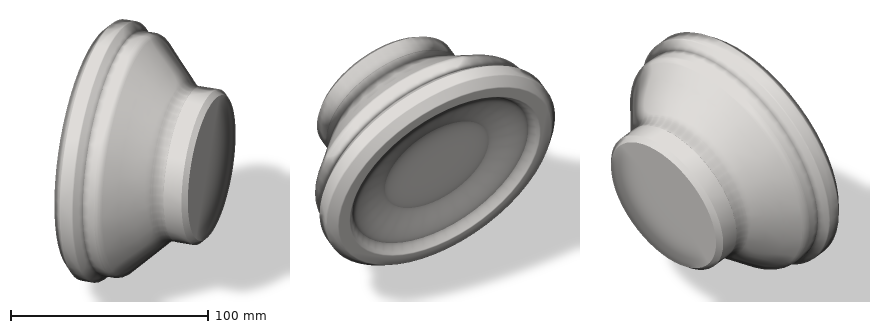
import cadquery as cq
import math


ring_radius = 67.1
ring_length = 15.5
ring_front_chamfer = 4.5
ring_edge_radius = 1.0
ring_inner_chamfer = 4.4
ring_bore_radius = 51.3

collar_radius = 126.0 / 2
collar_end_x = 21.5
shoulder_blend_radius = 5.1
cone_angle = math.radians(45)
neck_radius = 79.6 / 2
neck_blend_radius = 7.4
spigot_radius = 80.0 / 2
spigot_start_x = 50.6
spigot_chamfer = 2.5
total_length = 63.0

dish_rim_x = ring_inner_chamfer
dish_depth = 4.0
dish_floor_radius = 30.5


def turn(profile):
    """Revolve a closed (x, radius) profile about the X axis."""
    return profile.close().revolve(360, (0, 0, 0), (1, 0, 0))


def make_ring():
    """Rim ring with chamfered corners and softened front and outer edges."""
    back_chamfer = ring_radius - collar_radius
    blank = turn(
        cq.Workplane("XY")
        .moveTo(0, ring_bore_radius + ring_inner_chamfer)
        .lineTo(0, ring_radius - ring_front_chamfer)
        .lineTo(ring_front_chamfer, ring_radius)
        .lineTo(ring_length - back_chamfer, ring_radius)
        .lineTo(ring_length, collar_radius)
        .lineTo(ring_length, ring_bore_radius)
        .lineTo(ring_inner_chamfer, ring_bore_radius)
    )
    outer_edges = blank.faces("<X").edges().add(
        blank.edges(cq.selectors.RadiusNthSelector(-1))
    )
    return outer_edges.fillet(ring_edge_radius)


def make_housing():
    """Collar, cone and spigot in one piece, with a boss that fills the ring bore."""
    sine = math.sin(cone_angle)
    cosine = math.cos(cone_angle)
    half_sine = math.sin(cone_angle / 2)
    half_cosine = math.cos(cone_angle / 2)

    shoulder_center_radius = collar_radius - shoulder_blend_radius
    shoulder_mid = (
        collar_end_x + shoulder_blend_radius * half_sine,
        shoulder_center_radius + shoulder_blend_radius * half_cosine,
    )
    cone_start = (
        collar_end_x + shoulder_blend_radius * sine,
        shoulder_center_radius + shoulder_blend_radius * cosine,
    )

    neck_center_radius = neck_radius + neck_blend_radius
    cone_end_radius = neck_center_radius - neck_blend_radius * cosine
    cone_end_x = cone_start[0] + (cone_start[1] - cone_end_radius) / math.tan(cone_angle)
    neck_start_x = cone_end_x + neck_blend_radius * sine
    neck_mid = (
        neck_start_x - neck_blend_radius * half_sine,
        neck_center_radius - neck_blend_radius * half_cosine,
    )

    spigot_step = spigot_radius - neck_radius
    return turn(
        cq.Workplane("XY")
        .moveTo(dish_rim_x + dish_depth, 0)
        .lineTo(dish_rim_x + dish_depth, dish_floor_radius)
        .lineTo(dish_rim_x, ring_bore_radius)
        .lineTo(ring_length, ring_bore_radius)
        .lineTo(ring_length, collar_radius)
        .lineTo(collar_end_x, collar_radius)
        .threePointArc(shoulder_mid, cone_start)
        .lineTo(cone_end_x, cone_end_radius)
        .threePointArc(neck_mid, (neck_start_x, neck_radius))
        .lineTo(spigot_start_x, neck_radius)
        .lineTo(spigot_start_x + spigot_step, spigot_radius)
        .lineTo(total_length - spigot_chamfer, spigot_radius)
        .lineTo(total_length, spigot_radius - spigot_chamfer)
        .lineTo(total_length, 0)
    )


ring = make_ring()
housing = make_housing()
result = cq.Compound.makeCompound([ring.val(), housing.val()])